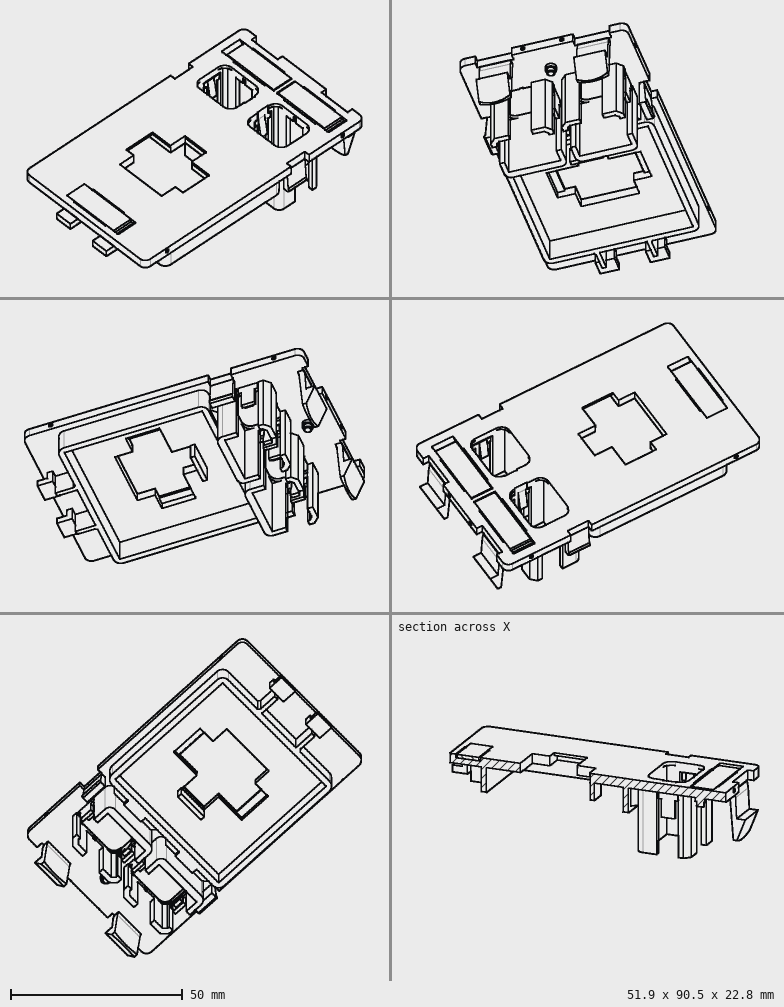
import cadquery as cq


overall_length = 90.5

plate_width = 51.5
plate_length = 87.5
plate_thickness = 3.0
plate_corner = 2.1
plate_bottom = -plate_thickness

dot_radius = 0.6
dot_tip_radius = 0.4
dot_proud = 0.2
dot_z = -1.3
side_dot_ys = (8.9, 78.8)
rear_dot_x = 6.0

label_length = 19.9
label_width = 7.0
label_thickness = 1.1
rear_label_x = 10.9
rear_label_y = 79.6
front_label_x = -0.1
front_label_y = 5.8
rear_label_gap = 0.3
ramp_run = 1.3
ramp_foot_gap = 0.8
snap_slot_length = 13.5
snap_slot_width = 0.4

bay_x = 10.9
window_width = 15.8
window_front_y = 60.7
window_rear_y = 73.5
window_corner = 2.7
window_lip = 1.2
bore_rear_chamfer = 1.0
window_groove_width = 1.0
window_groove_depth = 0.3
tube_width = 18.9
tube_front_y = 58.4
tube_rear_y = 75.1
tube_bottom = -22.8
tube_front_corner = 2.1
tube_rear_chamfer = 1.7
tube_side_gap_front_y = 64.9
tube_side_gap_rear_y = 71.8
tube_rear_gap_width = 7.0
finger_setback = 0.3
finger_offset = window_width / 2 + finger_setback
finger_thickness = 1.1
finger_y = 68.4
finger_bar_width = 6.1
finger_bar_bottom = -5.4
finger_stem_width = 4.2
finger_bottom = -11.0
tooth_y = 68.0
tooth_width = 2.5
tooth_reach = 1.2
tooth_bottom = -10.0

opening_front_y = 22.35
opening_front_width = 17.8
opening_mid_y = 27.9
opening_mid_width = 24.25
opening_rear_y = 38.4
opening_tab_width = 9.1
opening_tab_y = 44.25
opening_lip = 0.8
undercut_side = 2.3
undercut_rear = 0.1
opening_wall_thickness = 1.4
opening_wall_width = 9.8
opening_wall_bottom = -8.3

skirt_width = 47.4
skirt_front_y = 9.9
skirt_rear_y = 56.65
skirt_bottom = -10.6
skirt_corner = 2.35
skirt_wall = 1.8
gusset_bottom = -9.0
gusset_half_width = 7.7
gusset_foot_half_width = 3.6

hook_x = 14.9
hook_width = 9.5
hook_notch_width = 11.1
hook_notch_depth = 1.9
hook_tip_y = 89.2
hook_inner_root_y = 83.9
hook_outer_root_y = 85.8
hook_neck_z = -5.0
hook_inner_neck_y = 84.35
hook_outer_neck_y = 86.2
hook_barb_root_y = 86.5
hook_barb_z = -11.6
hook_inner_end_y = 85.5
hook_outer_end_y = 86.2
hook_bottom = -19.5
hook_bottom_sag = 1.2

lug_x = 7.7
lug_width = 5.9
lug_stem_front_y = 1.8
lug_stem_rear_y = 3.5
lug_tip_y = hook_tip_y - overall_length
lug_foot_top = -5.4
lug_foot_bottom = -7.6
rib_inner_x = 7.2
rib_outer_x = 8.5
rib_flare = 0.45
rib_flare_y = 9.1

clip_y = 61.8
clip_length = 7.15
clip_notch_depth = 1.8
clip_inner_x = 22.6
clip_top_x = 24.0
clip_waist_x = 24.5
clip_barb_x = 25.0
clip_foot_x = 24.4
clip_waist_z = -10.05
clip_barb_z = -10.8
clip_bottom = -11.4

post_y = 79.3
post_radius = 1.6
post_shoulder_z = -4.1
post_tip_radius = 1.2
post_bottom = -5.6
post_tip_chamfer = 0.3


def block(x0, x1, y0, y1, z0, z1):
    """Axis-aligned box between two opposite corners."""
    return cq.Workplane("XY").box(x1 - x0, y1 - y0, z1 - z0, centered=False).translate((x0, y0, z0))


def centered_block(x, width, y, length, z0, z1):
    """Box centred on (x, y) that spans z0 to z1."""
    return block(x - width / 2, x + width / 2, y - length / 2, y + length / 2, z0, z1)


def mirrored_pair(body):
    """A feature together with its mirror image across the X = 0 plane."""
    return body.union(body.mirror("YZ"))


def edge_dots():
    """Small tapered dots on the two sides and the rear edge of the plate."""
    def dot(x, y, outward):
        return cq.Solid.makeCone(
            dot_radius, dot_tip_radius, dot_proud, cq.Vector(x, y, dot_z), cq.Vector(*outward)
        )

    dots = []
    for side in (-1, 1):
        dots += [dot(side * plate_width / 2, y, (side, 0, 0)) for y in side_dot_ys]
        dots.append(dot(side * rear_dot_x, plate_length, (0, 1, 0)))
    return cq.Workplane("XY").newObject(dots)


def plate():
    slab = block(-plate_width / 2, plate_width / 2, 0, plate_length, plate_bottom, 0)
    return slab.edges("|Z").fillet(plate_corner)


def edge_notches():
    """Openings in the plate rim above the rear hooks and the side clips."""
    hook_notch = block(
        hook_x - hook_notch_width / 2, hook_x + hook_notch_width / 2,
        plate_length - hook_notch_depth, plate_length, plate_bottom, 0,
    )
    clip_notch = block(
        plate_width / 2 - clip_notch_depth, plate_width / 2,
        clip_y - clip_length / 2, clip_y + clip_length / 2, plate_bottom, 0,
    )
    return mirrored_pair(hook_notch.union(clip_notch))


def label_pocket(end_gap, front_gap):
    """Pocket for a label centred on the origin, with a finger ramp at its +X end."""
    half_length = label_length / 2
    half_width = label_width / 2
    ramp_foot_x = half_length + ramp_foot_gap
    profile = (
        cq.Workplane("XZ", origin=(0, half_width, 0))
        .moveTo(-half_length - end_gap, 0)
        .lineTo(-half_length - end_gap, -label_thickness)
        .lineTo(ramp_foot_x, -label_thickness)
        .lineTo(ramp_foot_x + ramp_run, 0)
        .close()
        .extrude(label_width + front_gap)
    )
    slots = block(
        -snap_slot_length / 2, snap_slot_length / 2,
        -half_width - front_gap - snap_slot_width, half_width + snap_slot_width,
        -label_thickness, 0,
    )
    return profile.union(slots)


def label_pockets():
    rear = label_pocket(rear_label_gap, rear_label_gap).translate((rear_label_x, rear_label_y, 0))
    front = label_pocket(0, 0).translate((front_label_x, front_label_y, 0))
    return mirrored_pair(rear).union(front)


def label(x, y):
    return centered_block(x, label_length, y, label_width, -label_thickness, 0)


def bay_bore(bottom, top):
    """Bore of a tube between two heights, with its rear corners cut off."""
    bore = block(
        bay_x - window_width / 2, bay_x + window_width / 2, window_front_y, window_rear_y, bottom, top
    )
    return bore.edges("|Z and >Y").chamfer(bore_rear_chamfer)


def bay_window():
    """Rounded window over the tube bore, with a finger relief and a shallow rear groove."""
    middle_y = (window_front_y + window_rear_y) / 2
    window = centered_block(
        bay_x, window_width, middle_y, window_rear_y - window_front_y, -window_lip, 0
    ).edges("|Z").fillet(window_corner)
    relief = block(
        bay_x - finger_offset, bay_x,
        finger_y - finger_stem_width / 2, finger_y + finger_stem_width / 2, plate_bottom, 0,
    )
    rear_groove = block(
        bay_x - window_groove_width / 2, bay_x + window_groove_width / 2,
        window_rear_y - window_groove_depth, window_rear_y + window_groove_depth,
        plate_bottom, -window_lip,
    )
    bore = bay_bore(plate_bottom, -window_lip)
    return window.union(relief).union(bore).union(rear_groove)


def bay_tube():
    """U-shaped front wall and two L-shaped rear legs around one window."""
    half = tube_width / 2
    tube = block(bay_x - half, bay_x + half, tube_front_y, tube_rear_y, tube_bottom, plate_bottom)
    tube = tube.edges("|Z and <Y").fillet(tube_front_corner)
    tube = tube.edges("|Z and >Y").chamfer(tube_rear_chamfer)
    side_gap = block(
        bay_x - half, bay_x + half,
        tube_side_gap_front_y, tube_side_gap_rear_y, tube_bottom, plate_bottom,
    )
    rear_gap = block(
        bay_x - tube_rear_gap_width / 2, bay_x + tube_rear_gap_width / 2,
        tube_side_gap_rear_y, tube_rear_y, tube_bottom, plate_bottom,
    )
    return tube.cut(bay_bore(tube_bottom, plate_bottom)).cut(side_gap).cut(rear_gap)


def latch_finger():
    """T-shaped finger with a ramped tooth toward -X; its inner face lies on X = 0."""
    bar = block(
        0, finger_thickness, finger_y - finger_bar_width / 2, finger_y + finger_bar_width / 2,
        finger_bar_bottom, plate_bottom,
    )
    stem = block(
        0, finger_thickness, finger_y - finger_stem_width / 2, finger_y + finger_stem_width / 2,
        finger_bottom, plate_bottom,
    )
    tooth = (
        cq.Workplane("XZ", origin=(0, tooth_y + tooth_width / 2, 0))
        .moveTo(0, plate_bottom)
        .lineTo(-tooth_reach, tooth_bottom)
        .lineTo(0, tooth_bottom)
        .close()
        .extrude(tooth_width)
    )
    return bar.union(stem).union(tooth)


def bay():
    finger = latch_finger().translate((finger_offset, 0, 0))
    fingers = mirrored_pair(finger).translate((bay_x, 0, 0))
    return bay_tube().union(fingers)


def center_opening():
    """Stepped opening; below a thin lip its wide step spreads sideways and its rear faces step back."""
    def step(width, y0, y1, top):
        return block(-width / 2, width / 2, y0, y1, plate_bottom, top)

    undercut_width = opening_mid_width + 2 * undercut_side
    return (
        step(opening_front_width, opening_front_y, opening_mid_y, 0)
        .union(step(opening_mid_width, opening_mid_y, opening_rear_y, 0))
        .union(step(opening_tab_width, opening_rear_y, opening_tab_y, 0))
        .union(step(undercut_width, opening_mid_y, opening_rear_y + undercut_rear, -opening_lip))
        .union(step(opening_tab_width, opening_rear_y, opening_tab_y + undercut_rear, -opening_lip))
    )


def opening_wall():
    """Wall hanging from the plate behind the narrow end of the opening."""
    front_y = opening_tab_y + 2 * undercut_rear
    return block(
        -opening_wall_width / 2, opening_wall_width / 2,
        front_y, front_y + opening_wall_thickness, opening_wall_bottom, plate_bottom,
    )


def skirt():
    """Hollow rectangular skirt with rounded corners."""
    middle_y = (skirt_front_y + skirt_rear_y) / 2
    length = skirt_rear_y - skirt_front_y
    outer = centered_block(0, skirt_width, middle_y, length, skirt_bottom, plate_bottom)
    outer = outer.edges("|Z").fillet(skirt_corner)
    inner = centered_block(
        0, skirt_width - 2 * skirt_wall, middle_y, length - 2 * skirt_wall, skirt_bottom, plate_bottom
    )
    return outer.cut(inner)


def gusset():
    """Tapered web with a narrower foot that ties a tube to the rear of the skirt."""
    taper = tube_front_y - skirt_rear_y
    foot = block(
        bay_x - gusset_foot_half_width, bay_x + gusset_foot_half_width,
        skirt_rear_y, tube_front_y, skirt_bottom, gusset_bottom,
    )
    web = (
        cq.Workplane("XY", origin=(bay_x, 0, gusset_bottom))
        .moveTo(-gusset_half_width - taper, skirt_rear_y)
        .lineTo(gusset_half_width + taper, skirt_rear_y)
        .lineTo(gusset_half_width, tube_front_y)
        .lineTo(-gusset_half_width, tube_front_y)
        .close()
        .extrude(plate_bottom - gusset_bottom)
    )
    return web.union(foot)


def hook():
    """Barbed rear hook with a bowed lower edge."""
    leg = (
        cq.Workplane("YZ", origin=(hook_x - hook_width / 2, 0, 0))
        .moveTo(hook_inner_root_y, plate_bottom)
        .lineTo(hook_outer_root_y, plate_bottom)
        .lineTo(hook_outer_neck_y, hook_neck_z)
        .lineTo(hook_barb_root_y, hook_barb_z)
        .lineTo(hook_tip_y, hook_barb_z)
        .lineTo(hook_outer_end_y, hook_bottom)
        .lineTo(hook_inner_end_y, hook_bottom)
        .lineTo(hook_inner_neck_y, hook_neck_z)
        .close()
        .extrude(hook_width)
    )
    corner_z = hook_bottom + hook_bottom_sag
    bowed_outline = (
        cq.Workplane("XZ", origin=(hook_x, hook_tip_y, 0))
        .moveTo(-hook_width / 2, plate_bottom)
        .lineTo(-hook_width / 2, corner_z)
        .threePointArc((0, hook_bottom), (hook_width / 2, corner_z))
        .lineTo(hook_width / 2, plate_bottom)
        .close()
        .extrude(hook_tip_y)
    )
    return leg.intersect(bowed_outline)


def lug():
    """L-shaped front lug with a rib that runs back and flares into the skirt."""
    stem = block(
        lug_x - lug_width / 2, lug_x + lug_width / 2,
        lug_stem_front_y, lug_stem_rear_y, lug_foot_bottom, plate_bottom,
    )
    foot = block(
        lug_x - lug_width / 2, lug_x + lug_width / 2,
        lug_tip_y, lug_stem_rear_y, lug_foot_bottom, lug_foot_top,
    )
    rib = (
        cq.Workplane("XY", origin=(0, 0, skirt_bottom))
        .moveTo(rib_inner_x, lug_stem_rear_y)
        .lineTo(rib_outer_x, lug_stem_rear_y)
        .lineTo(rib_outer_x, rib_flare_y)
        .lineTo(rib_outer_x + rib_flare, skirt_front_y)
        .lineTo(rib_inner_x, skirt_front_y)
        .close()
        .extrude(plate_bottom - skirt_bottom)
    )
    return stem.union(foot).union(rib)


def side_clip():
    """Side clip that flares to a barb at its lower end."""
    return (
        cq.Workplane("XZ", origin=(0, clip_y + clip_length / 2, 0))
        .moveTo(clip_inner_x, plate_bottom)
        .lineTo(clip_top_x, plate_bottom)
        .lineTo(clip_waist_x, clip_waist_z)
        .lineTo(clip_barb_x, clip_barb_z)
        .lineTo(clip_foot_x, clip_bottom)
        .lineTo(clip_inner_x, clip_bottom)
        .close()
        .extrude(clip_length)
    )


def post():
    shank = cq.Workplane("XY", origin=(0, post_y, post_shoulder_z)).circle(post_radius)
    tip = cq.Workplane("XY", origin=(0, post_y, post_bottom)).circle(post_tip_radius)
    tip = tip.extrude(plate_bottom - post_bottom).faces("<Z").chamfer(post_tip_chamfer)
    return shank.extrude(plate_bottom - post_shoulder_z).union(tip)


def cover():
    body = plate().cut(edge_notches()).union(edge_dots())
    body = body.cut(label_pockets()).cut(center_opening()).cut(mirrored_pair(bay_window()))
    body = body.union(skirt()).union(opening_wall()).union(post())
    for feature in (bay(), gusset(), hook(), lug(), side_clip()):
        body = body.union(mirrored_pair(feature))
    return body


cover_body = cover()
label_places = [(-rear_label_x, rear_label_y), (rear_label_x, rear_label_y), (front_label_x, front_label_y)]
labels = [label(x, y).val() for x, y in label_places]

result = cq.Compound.makeCompound([cover_body.val(), *labels])